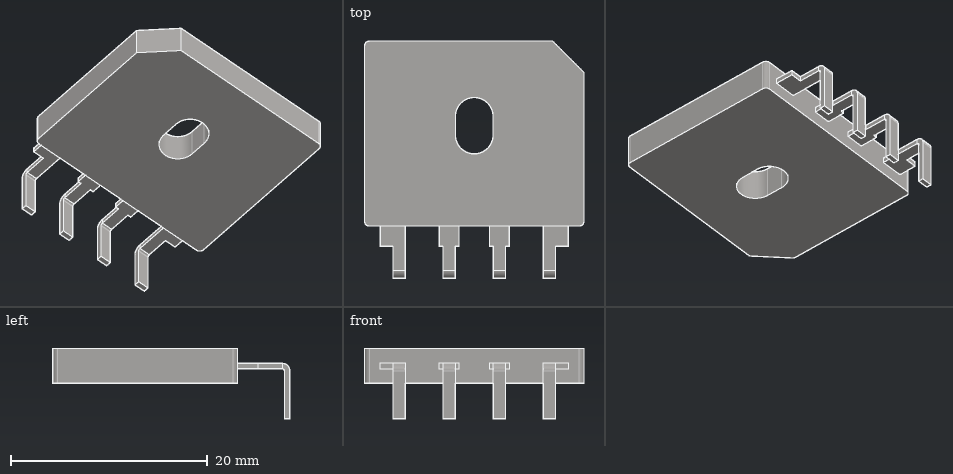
import cadquery as cq

HOUSING_WIDTH = 22.3
HOUSING_DEPTH = 18.8
HOUSING_HEIGHT = 3.55
CORNER_RADIUS = 0.5
CORNER_CUT = 3.2

SLOT_WIDTH = 3.8
SLOT_LENGTH = 5.7
SLOT_BACK_MARGIN = 5.75

LEAD_PITCH = 5.08
LEAD_WIDTH = 1.27
LEAD_THICKNESS = 0.58
LEAD_TOP_DEPTH = 1.5
LEAD_REACH = 5.307
LEAD_DROP = 5.66
BEND_INNER_RADIUS = 0.2

SHOULDER_LENGTH = 2.05
END_SHOULDER_OVERHANG = 1.3
MIDDLE_SHOULDER_OVERHANG = 0.38

FRONT_Y = -HOUSING_DEPTH / 2
LEAD_TOP_Z = HOUSING_HEIGHT - LEAD_TOP_DEPTH
LEAD_BOTTOM_Z = LEAD_TOP_Z - LEAD_THICKNESS
BEND_OUTER_RADIUS = BEND_INNER_RADIUS + LEAD_THICKNESS
LEG_OUTER_Y = FRONT_Y - LEAD_REACH
BEND_Y = LEG_OUTER_Y + BEND_OUTER_RADIUS
BEND_Z = LEAD_TOP_Z - BEND_OUTER_RADIUS


def make_housing():
    """Slab with one cut corner, three rounded corners and a through slot."""
    slab = cq.Workplane("XY").box(
        HOUSING_WIDTH, HOUSING_DEPTH, HOUSING_HEIGHT, centered=(True, True, False)
    )
    slab = slab.edges("|Z and >X and >Y").chamfer(CORNER_CUT)
    slab = slab.edges("|Z and <X").fillet(CORNER_RADIUS)
    slab = slab.edges("|Z and <Y and >X").fillet(CORNER_RADIUS)
    slot_y = HOUSING_DEPTH / 2 - SLOT_BACK_MARGIN - SLOT_LENGTH / 2
    slot = (
        cq.Workplane("XY")
        .center(0, slot_y)
        .slot2D(SLOT_LENGTH, SLOT_WIDTH, angle=90)
        .extrude(HOUSING_HEIGHT)
    )
    return slab.cut(slot)


def make_flat_lead(x, left_overhang, right_overhang):
    """Level strip from the housing front to the bend, widened at the shoulder."""
    left = x - LEAD_WIDTH / 2
    strip = cq.Workplane("XY").box(
        LEAD_WIDTH, FRONT_Y - BEND_Y, LEAD_THICKNESS, centered=False
    ).translate((left, BEND_Y, LEAD_BOTTOM_Z))
    shoulder_width = left_overhang + LEAD_WIDTH + right_overhang
    shoulder = cq.Workplane("XY").box(
        shoulder_width, SHOULDER_LENGTH, LEAD_THICKNESS, centered=False
    ).translate((left - left_overhang, FRONT_Y - SHOULDER_LENGTH, LEAD_BOTTOM_Z))
    return strip.union(shoulder)


def make_leg(x):
    """Quarter bend at the end of the strip, running straight down to the tip."""
    leg_inner_y = LEG_OUTER_Y + LEAD_THICKNESS
    tip_z = LEAD_TOP_Z - LEAD_DROP
    return (
        cq.Workplane("YZ", origin=(x, 0, 0))
        .moveTo(BEND_Y, LEAD_TOP_Z)
        .radiusArc((LEG_OUTER_Y, BEND_Z), -BEND_OUTER_RADIUS)
        .lineTo(LEG_OUTER_Y, tip_z)
        .lineTo(leg_inner_y, tip_z)
        .lineTo(leg_inner_y, BEND_Z)
        .radiusArc((BEND_Y, LEAD_BOTTOM_Z), BEND_INNER_RADIUS)
        .close()
        .extrude(LEAD_WIDTH / 2, both=True)
    )


shoulder_overhangs = [
    (END_SHOULDER_OVERHANG, 0),
    (MIDDLE_SHOULDER_OVERHANG, MIDDLE_SHOULDER_OVERHANG),
    (MIDDLE_SHOULDER_OVERHANG, MIDDLE_SHOULDER_OVERHANG),
    (0, END_SHOULDER_OVERHANG),
]
first_lead_x = -LEAD_PITCH * (len(shoulder_overhangs) - 1) / 2

housing = make_housing()
flat_leads = []
legs = []
for index, (left_overhang, right_overhang) in enumerate(shoulder_overhangs):
    lead_x = first_lead_x + index * LEAD_PITCH
    flat_leads.append(make_flat_lead(lead_x, left_overhang, right_overhang).solids().val())
    legs.append(make_leg(lead_x).solids().val())

result = cq.Compound.makeCompound([housing.solids().val(), *flat_leads, *legs])